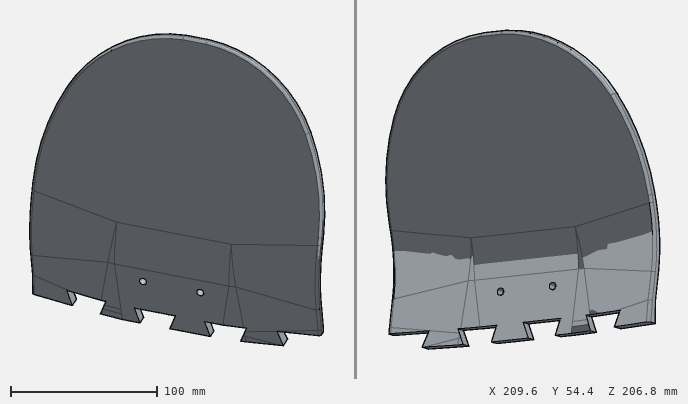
import cadquery as cq
import math

half_width = 104.8
height = 206.8
thickness = 7.5
lean = math.radians(18)
blank_top = 230.5
blank_bottom = -6.3
edge_radius = 2.0

bend_radius = 100.5
corner_z = 60.1
wing_bend_top = 86.0
wing_tilt = math.radians(11.8)

middle_half_width = 41.5
strip_inner_foot = 35.6
strip_outer_foot = 53.5

foot_top_inner, foot_top_outer = 8.2, 16.0
foot_end_inner, foot_end_outer = 4.6, -5.0
wing_front_foot_y = 9.8
wing_rear_foot_y = 20.0

crown_half_width = 8.4
shoulder_x, shoulder_z = 87.5, 159.0
side_top_z = 90.7

notch_pitch = 51.0
notch_first_x = -63.0
notch_count = 4
notch_depth = 11.3
notch_root_width = 29.8
notch_mouth_width = 21.4
hole_diameter = 5.0
hole_x, hole_z = 20.7, 34.4
cut_reach = 83.8
tolerance = 2.1e-06


def panel_y(z):
    """Front face of the leaning panel at height z."""
    return (z - corner_z) * math.tan(lean)


def bend_points(center, radius, lower_angle):
    """Top, middle and lower (y, z) points of a bend, whose normals turn from lean to lower_angle."""
    cy, cz = center
    angles = (lean, (lean + lower_angle) / 2, lower_angle)
    return [(cy - radius * math.cos(a), cz + radius * math.sin(a)) for a in angles]


def bend_center(top_z):
    return (panel_y(top_z) + bend_radius * math.cos(lean), top_z - bend_radius * math.sin(lean))


def middle_profiles():
    """Front and rear (y, z) nodes of the middle section, from top to bottom."""
    top_z = corner_z + bend_radius * math.tan(lean / 2) * math.cos(lean)
    center = bend_center(top_z)
    profiles = []
    for offset in (0, thickness):
        top = (panel_y(blank_top) + offset / math.cos(lean), blank_top)
        bend = bend_points(center, bend_radius - offset, 0)
        feet = [(offset, z) for z in (foot_top_inner, foot_end_inner, blank_bottom)]
        profiles.append([top] + bend + feet)
    return profiles


def wing_profiles():
    """Front and rear (y, z) nodes of the section at a side edge, from top to bottom."""
    center = bend_center(wing_bend_top)
    profiles = []
    for offset, foot_y in ((0, wing_front_foot_y), (thickness, wing_rear_foot_y)):
        top = (panel_y(blank_top) + offset / math.cos(lean), blank_top)
        bend = bend_points(center, bend_radius - offset, -wing_tilt)
        low_y, low_z = bend[-1]
        knee = (low_y + (low_z - foot_top_outer) * math.tan(wing_tilt), foot_top_outer)
        profiles.append([top] + bend + [knee, (foot_y, foot_end_outer), (foot_y, blank_bottom)])
    return profiles


def place_middle(profile, foot_x, start):
    """Put the middle nodes on a strip border that leaves x = middle_half_width at node index start."""
    start_z = profile[start][1]
    points = []
    for y, z in profile:
        drop = max(0, start_z - z) / start_z
        points.append((middle_half_width + (foot_x - middle_half_width) * drop, y, z))
    return points


def toward_wing(border, wing):
    """Move the strip's outer border back onto the straight rulings that run to the side edge."""
    points = []
    for (x, y, z), (wing_y, wing_z) in zip(border, wing):
        share = (x - middle_half_width) / (half_width - middle_half_width)
        points.append((x, y + share * (wing_y - y), z))
    return points


def chain(points):
    """Edges along one face: panel line, bend arc, then straight pieces to the bottom."""
    v = [cq.Vector(*p) for p in points]
    lines = [cq.Edge.makeLine(a, b) for a, b in zip(v[3:], v[4:])]
    return [cq.Edge.makeLine(v[0], v[1]), cq.Edge.makeThreePointArc(v[1], v[2], v[3])] + lines


def section(front, rear):
    """Closed ring of edges made from a front and a rear chain."""
    top = cq.Edge.makeLine(cq.Vector(*front[0]), cq.Vector(*rear[0]))
    bottom = cq.Edge.makeLine(cq.Vector(*front[-1]), cq.Vector(*rear[-1]))
    return chain(front) + [bottom] + chain(rear) + [top]


def mirrored(points):
    return [(-x, y, z) for x, y, z in points]


def join_edges(a, b):
    """Face between two edges: a true plane if both are straight and coplanar, otherwise ruled."""
    corners = [a.startPoint(), a.endPoint(), b.endPoint(), b.startPoint()]
    normal = (corners[2] - corners[0]).cross(corners[3] - corners[1]).normalized()
    is_flat = abs((corners[1] - corners[0]).dot(normal)) < tolerance
    if is_flat and a.geomType() == "LINE":
        loop = [p for i, p in enumerate(corners) if (p - corners[i - 1]).Length > tolerance]
        return cq.Face.makeFromWires(cq.Wire.makePolygon(loop, close=True))
    return cq.Face.makeRuledSurface(a, b)


def make_blank():
    """Bent plate: ruled faces between sections running from one side edge to the other."""
    middle = middle_profiles()
    wing = wing_profiles()
    side = [[(half_width, y, z) for y, z in p] for p in wing]
    outer = [toward_wing(place_middle(m, strip_outer_foot, 1), w) for m, w in zip(middle, wing)]
    inner = [place_middle(m, strip_inner_foot, 3) for m in middle]
    half = [side, outer, inner]
    stations = [[mirrored(p) for p in s] for s in half] + half[::-1]
    rings = [section(*s) for s in stations]
    faces = [cq.Face.makeFromWires(cq.Wire.assembleEdges(rings[i])) for i in (0, -1)]
    for ring, next_ring in zip(rings, rings[1:]):
        for a, b in zip(ring, next_ring):
            touching = (a.Center() - b.Center()).Length < tolerance
            if not touching:
                faces.append(join_edges(a, b))
    return cq.Workplane(cq.Solid.makeSolid(cq.Shell.makeShell(faces)).fix()).clean()


def make_outline():
    """Rounded outline, swept square to the leaning panel and cut off level at z = 0."""
    panel = cq.Plane(
        origin=(0, panel_y(0), 0),
        xDir=(1, 0, 0),
        normal=(0, -math.cos(lean), math.sin(lean)),
    )

    crown_z = height + edge_radius * (math.sin(lean) + math.cos(lean) - 1)

    def up(z):
        return z / math.cos(lean)

    outline = (
        cq.Workplane(panel)
        .moveTo(half_width, -cut_reach)
        .lineTo(half_width, up(side_top_z))
        .tangentArcPoint((shoulder_x, up(shoulder_z)), relative=False)
        .tangentArcPoint((crown_half_width, up(crown_z)), relative=False)
        .lineTo(0, up(crown_z))
        .lineTo(0, -cut_reach)
        .close()
        .extrude(cut_reach, both=True)
    )
    outline = outline.union(outline.mirror("YZ"))
    floor = cq.Workplane().box(3 * half_width, 4 * half_width, 2 * height, centered=(True, True, False))
    return outline.intersect(floor)


def make_notches():
    """Dovetail notches along the bottom; the last one runs out through the side edge."""
    notches = cq.Workplane()
    for i in range(notch_count):
        x = notch_first_x + i * notch_pitch
        is_last = i == notch_count - 1
        root_end = half_width + 2 if is_last else x + notch_root_width / 2
        mouth_end = half_width + 2 if is_last else x + notch_mouth_width / 2
        notch = (
            cq.Workplane("XZ")
            .moveTo(x - notch_mouth_width / 2, 0)
            .lineTo(x - notch_root_width / 2, notch_depth)
            .lineTo(root_end, notch_depth)
            .lineTo(mouth_end, 0)
            .close()
            .extrude(cut_reach, both=True)
        )
        notches = notches.add(notch)
    return notches.combine()


def make_holes():
    return (
        cq.Workplane("XZ")
        .pushPoints([(-hole_x, hole_z), (hole_x, hole_z)])
        .circle(hole_diameter / 2)
        .extrude(cut_reach, both=True)
    )


def rim_edges(plate):
    """Front and rear edges around the rim, without the bottom and the short cross edges."""
    rim_faces = []
    for face in plate.faces().vals():
        n = face.normalAt()
        square_to_panel = abs(n.y * math.cos(lean) - n.z * math.sin(lean)) < 0.01
        if square_to_panel and n.z > -0.5:
            rim_faces.append(face)
    edges = [e for f in rim_faces for e in f.Edges()]
    unshared = [e for e in edges if sum(e.isSame(other) for other in edges) == 1]
    return [e for e in unshared if e.BoundingBox().zmax > 0.02]


plate = make_blank().intersect(make_outline())
plate = plate.newObject(rim_edges(plate)).fillet(edge_radius)
result = plate.cut(make_notches()).cut(make_holes())